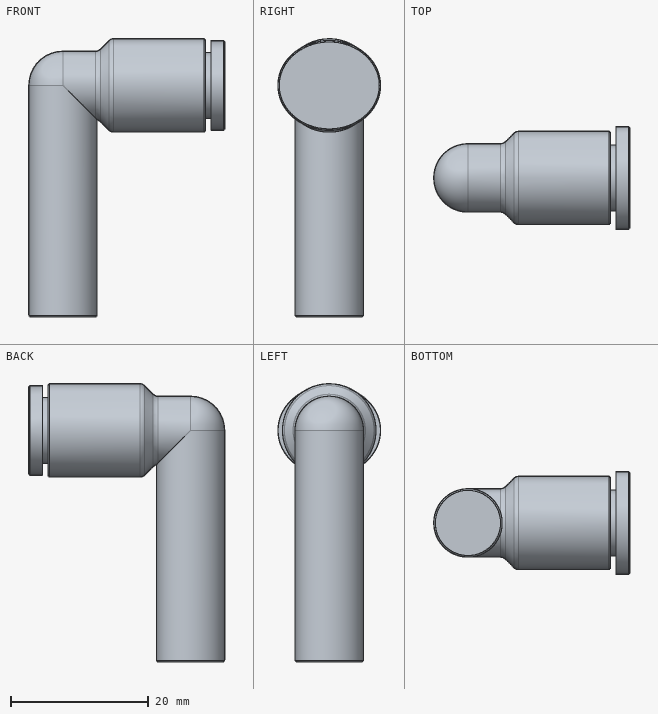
import cadquery as cq

tube_radius = 5.0
stem_length = 33.78
stem_end_chamfer = 0.25

body_radius = 6.82
shoulder_start = 5.15
shoulder_end = shoulder_start + (body_radius - tube_radius)
shoulder_blend = 0.97
body_end = 20.8
body_end_chamfer = 0.25

sleeve_radius = 4.85
collar_start = 21.55
collar_end = 23.6
collar_half_width = 7.49
collar_half_height = 6.55
collar_chamfer = 0.2


def make_stem():
    """Round stem running down from the elbow centre."""
    stem = cq.Workplane("XY").circle(tube_radius).extrude(-stem_length)
    return stem.faces("<Z").chamfer(stem_end_chamfer)


def make_socket():
    """Neck, shoulder and body, turned about the X axis."""
    socket = (
        cq.Workplane("XZ")
        .moveTo(0, 0)
        .lineTo(0, tube_radius)
        .lineTo(shoulder_start, tube_radius)
        .lineTo(shoulder_end, body_radius)
        .lineTo(body_end, body_radius)
        .lineTo(body_end, 0)
        .close()
        .revolve(360, (0, 0, 0), (1, 0, 0))
    )
    socket = socket.faces(">X").chamfer(body_end_chamfer)
    return socket.faces("%CONE").faces("<X").edges("%CIRCLE").fillet(shoulder_blend)


def make_collar():
    """Oval collar standing off the body on a round sleeve."""
    sleeve = (
        cq.Workplane("YZ", origin=(body_end, 0, 0))
        .circle(sleeve_radius)
        .extrude(collar_start - body_end)
    )
    collar = (
        cq.Workplane("YZ", origin=(collar_start, 0, 0))
        .ellipse(collar_half_width, collar_half_height)
        .extrude(collar_end - collar_start)
        .faces(">X")
        .chamfer(collar_chamfer)
    )
    return sleeve.union(collar)


elbow_ball = cq.Workplane("XY").sphere(tube_radius)
result = make_stem().union(elbow_ball).union(make_socket()).union(make_collar())